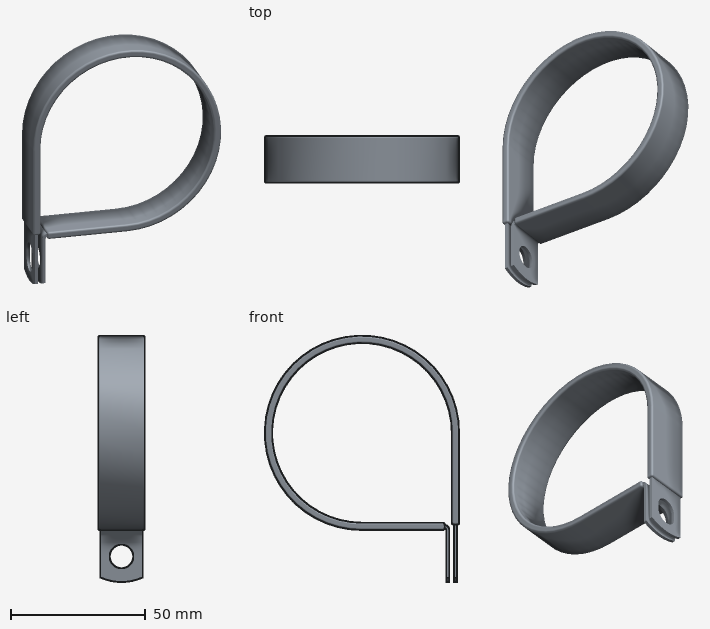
import cadquery as cq
import math


outer_diameter = 72.285
cushion_width = 17.46
edge_radius = 0.794
strap_thickness = 1.219
cushion_end = 30.75
tab_gap = 1.65
bend_inner_radius = 0.8
tab_tip_z = -55.475
tab_tip_radius = 19.05
hole_diameter = 8.65
slot_length = 11.1
hole_to_tip = 9.55

outer_radius = outer_diameter / 2
cushion_thickness = strap_thickness + 2 * edge_radius
inner_radius = outer_radius - cushion_thickness
strap_width = cushion_width - 2 * edge_radius
strap_outer = outer_radius - edge_radius
strap_inner = strap_outer - strap_thickness
upright_end_z = -strap_inner
bent_tab_outer_x = strap_inner - tab_gap
bent_tab_inner_x = bent_tab_outer_x - strap_thickness
bend_outer_radius = bend_inner_radius + strap_thickness
bend_start_x = bent_tab_outer_x - bend_outer_radius
bend_end_z = -strap_inner - bend_outer_radius
hole_z = tab_tip_z + hole_to_tip


def side_sketch(width):
    """XZ workplane placed so that extruding by width is centred on Y = 0."""
    return cq.Workplane("XZ", origin=(0, width / 2, 0))


def make_cushion():
    """Three-quarter loop with two tangent legs, rounded on every lengthwise and end edge."""
    diagonal = math.sqrt(0.5)
    band = (
        side_sketch(cushion_width)
        .moveTo(outer_radius, upright_end_z)
        .lineTo(outer_radius, 0)
        .threePointArc((-outer_radius * diagonal, outer_radius * diagonal), (0, -outer_radius))
        .lineTo(cushion_end, -outer_radius)
        .lineTo(cushion_end, -inner_radius)
        .lineTo(0, -inner_radius)
        .threePointArc((-inner_radius * diagonal, inner_radius * diagonal), (inner_radius, 0))
        .lineTo(inner_radius, upright_end_z)
        .close()
        .extrude(cushion_width)
    )
    side_edges = band.faces("|Y").edges()
    end_edges = band.faces(cq.selectors.BoxSelector(
        (cushion_end - edge_radius, -cushion_width, -outer_radius),
        (outer_radius, cushion_width, -inner_radius),
    )).edges("|Y")
    return band.newObject(side_edges.vals() + end_edges.vals()).fillet(edge_radius)


def make_straight_tab():
    """Strap continuing straight down out of the upright leg."""
    root_z = upright_end_z + edge_radius
    return (
        side_sketch(strap_width)
        .moveTo(strap_inner, root_z)
        .lineTo(strap_outer, root_z)
        .lineTo(strap_outer, tab_tip_z)
        .lineTo(strap_inner, tab_tip_z)
        .close()
        .extrude(strap_width)
    )


def make_bent_tab():
    """Strap leaving the lower leg and bending down, parallel to the straight tab."""
    root_x = cushion_end - edge_radius
    return (
        side_sketch(strap_width)
        .moveTo(root_x, -strap_inner)
        .lineTo(bend_start_x, -strap_inner)
        .radiusArc((bent_tab_outer_x, bend_end_z), bend_outer_radius)
        .lineTo(bent_tab_outer_x, tab_tip_z)
        .lineTo(bent_tab_inner_x, tab_tip_z)
        .lineTo(bent_tab_inner_x, bend_end_z)
        .radiusArc((bend_start_x, -strap_outer), -bend_inner_radius)
        .lineTo(root_x, -strap_outer)
        .close()
        .extrude(strap_width)
    )


def make_tab_outline():
    """Block along X whose lower end is the curved tip shared by both tabs."""
    half_width = strap_width / 2
    tip_rise = tab_tip_radius - math.sqrt(tab_tip_radius**2 - half_width**2)
    corner_z = tab_tip_z + tip_rise
    return (
        cq.Workplane("YZ")
        .moveTo(-half_width, 0)
        .lineTo(-half_width, corner_z)
        .threePointArc((0, tab_tip_z), (half_width, corner_z))
        .lineTo(half_width, 0)
        .close()
        .extrude(outer_radius)
    )


def make_bolt_hole():
    """Round hole cutter along X for the bent tab."""
    return cq.Workplane("YZ").center(0, hole_z).circle(hole_diameter / 2).extrude(outer_radius)


def make_bolt_slot():
    """Slot cutter along X for the straight tab, as wide as the bolt hole and longer in Z."""
    slot = cq.Workplane("YZ").center(0, hole_z).slot2D(slot_length, hole_diameter, angle=90)
    return slot.extrude(outer_radius)


tab_outline = make_tab_outline()
straight_tab = make_straight_tab().intersect(tab_outline).cut(make_bolt_slot())
bent_tab = make_bent_tab().intersect(tab_outline).cut(make_bolt_hole())
result = make_cushion().union(straight_tab).union(bent_tab)